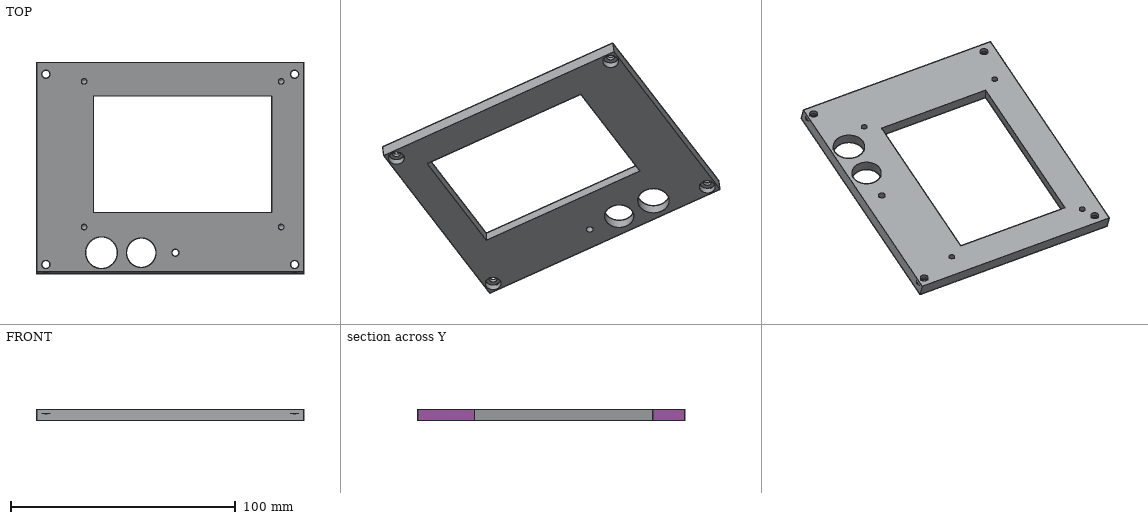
import cadquery as cq
import math

WIDTH = 119.0
LENGTH = 93.0
THICKNESS = 5.0
EDGE_LEAN_DEG = 12.5
LEAN_OFFSET = THICKNESS * math.tan(math.radians(EDGE_LEAN_DEG))
BOTTOM_FRONT_Y = -(LENGTH + LEAN_OFFSET) / 2
BOTTOM_CENTER_Y = BOTTOM_FRONT_Y + LENGTH / 2

CORNER_INSET = 4.15
CORNER_HOLE_DIAMETER = 3.5
HEAD_RECESS_DIAMETER = 7.0
HEAD_RECESS_DEPTH = 3.2

DISPLAY_CENTER = (5.5, 6.2)
WINDOW_SIZE = (79.3, 51.7)
MOUNT_SPACING = (87.7, 64.8)
MOUNT_HOLE_DIAMETER = 2.5
MOUNT_HOLE_DEPTH = 3.0
DRILL_POINT_DEG = 118.0

CONTROL_ROW_INSET = 9.4
CONTROL_ROW_Y = BOTTOM_FRONT_Y + CONTROL_ROW_INSET
CONTROL_OPENINGS = [(-30.6, 14.0), (-12.9, 13.0), (2.3, 3.0)]


def rectangle_corners(center, spacing):
    """Four corner points of a rectangle."""
    return [
        (center[0] + side_x * spacing[0] / 2, center[1] + side_y * spacing[1] / 2)
        for side_x in (-1, 1)
        for side_y in (-1, 1)
    ]


def cylinders(points, diameter, bottom_z, height):
    """Upright cylinders standing on bottom_z at the given points."""
    base = cq.Workplane("XY").workplane(offset=bottom_z)
    return base.pushPoints(points).circle(diameter / 2).extrude(height)


def plate():
    """Parallelogram side profile swept across the width."""
    bottom_back_y = BOTTOM_FRONT_Y + LENGTH
    profile = [
        (BOTTOM_FRONT_Y, 0),
        (bottom_back_y, 0),
        (bottom_back_y + LEAN_OFFSET, THICKNESS),
        (BOTTOM_FRONT_Y + LEAN_OFFSET, THICKNESS),
    ]
    return cq.Workplane("YZ").polyline(profile).close().extrude(WIDTH / 2, both=True)


def cut_corner_screws(body):
    """Through holes with head recesses; the front recesses just break the leaning edge."""
    spacing = (WIDTH - 2 * CORNER_INSET, LENGTH - 2 * CORNER_INSET)
    points = rectangle_corners((0, BOTTOM_CENTER_Y), spacing)
    body = body.cut(cylinders(points, CORNER_HOLE_DIAMETER, 0, THICKNESS))
    return body.cut(cylinders(points, HEAD_RECESS_DIAMETER, 0, HEAD_RECESS_DEPTH))


def cut_display_window(body):
    """Rectangular opening through the plate."""
    window = cq.Workplane("XY").center(*DISPLAY_CENTER).rect(*WINDOW_SIZE).extrude(THICKNESS)
    return body.cut(window)


def cut_mount_holes(body):
    """Blind holes from the top face, each ending in a drill point."""
    radius = MOUNT_HOLE_DIAMETER / 2
    tip_depth = radius / math.tan(math.radians(DRILL_POINT_DEG / 2))
    half_section = [
        (0, THICKNESS),
        (radius, THICKNESS),
        (radius, THICKNESS - MOUNT_HOLE_DEPTH),
        (0, THICKNESS - MOUNT_HOLE_DEPTH - tip_depth),
    ]
    drill = cq.Workplane("XZ").polyline(half_section).close().revolve(360, (0, 0, 0), (0, 1, 0))
    for x, y in rectangle_corners(DISPLAY_CENTER, MOUNT_SPACING):
        body = body.cut(drill.translate((x, y, 0)))
    return body


def cut_control_openings(body):
    """Round through openings for the controls."""
    for x, diameter in CONTROL_OPENINGS:
        body = body.cut(cylinders([(x, CONTROL_ROW_Y)], diameter, 0, THICKNESS))
    return body


result = plate()
result = cut_corner_screws(result)
result = cut_display_window(result)
result = cut_mount_holes(result)
result = cut_control_openings(result)